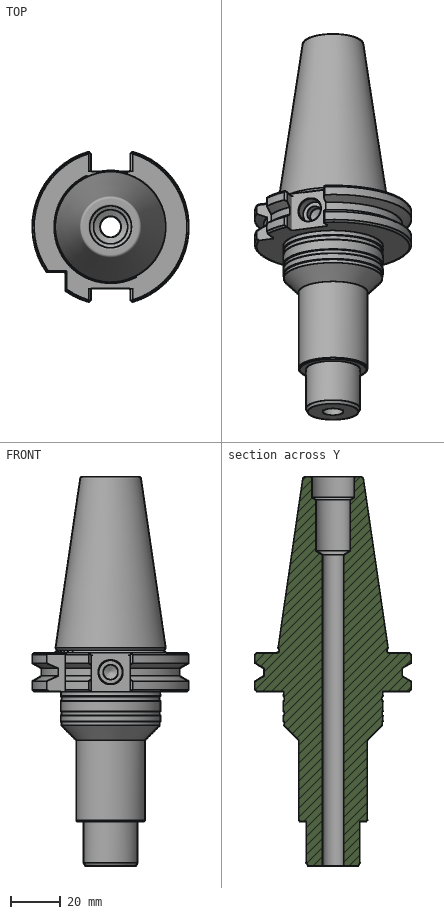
import cadquery as cq
import math


gauge_diameter = 44.45
taper_ratio = 7 / 24
taper_top_z = 68.25
taper_bottom_z = -1.1
taper_tip_round = 1.1
undercut_radius = 21.9
undercut_fillet = 1.0

flange_diameter = 63.55
flange_top_z = -3.1
flange_thickness = 15.7
flange_bottom_z = flange_top_z - flange_thickness
flange_chamfer = 0.8
grip_groove_z = flange_top_z - flange_thickness / 2
grip_groove_root_diameter = 56.25
grip_groove_root_width = 3.1
grip_groove_half_angle = 30

slot_width = 15.8
slot_chamfer = 1.0
slot_corner_fillet = 0.5
front_slot_floor = 25.0
rear_slot_floor = 22.5
notch_x = -18.4
notch_y = -18.4
notch_chamfer = 0.6
notch_corner_fillet = 0.5

side_bore_diameter = 9.6
side_bore_chamfer = 0.2
side_bore_depth = 4.8
side_hole_diameter = 6.0
side_hole_depth = 8.0
drill_point_angle = 118

neck_diameter = 40.0
band_height = 0.25
collar_groove_width = 1.35
collar_end_z = -20.6
bands = [(-22.75, -26.7), (-28.6, -30.85)]
ring_groove_depth = 0.1

bottom_z = -89.5
shank_diameter = 28.0
shank_top_z = bottom_z + 51.0
shank_bottom_z = bottom_z + 18.0
shank_chamfer = 0.5
nose_diameter = 22.0
nose_chamfer_height = 1.3
nose_chamfer_angle = 30

pilot_diameter = 17.0
pilot_mouth_round = 0.8
pilot_depth = 8.4
thread_bore_diameter = 13.84
thread_bore_depth = 30.0
through_diameter = 8.38

flange_radius = flange_diameter / 2
neck_radius = neck_diameter / 2
band_radius = neck_radius + band_height


def taper_radius(z):
    return (gauge_diameter - z * taper_ratio) / 2


def drill_point_height(diameter):
    return diameter / 2 / math.tan(math.radians(drill_point_angle / 2))


def revolve_about_z(half_profile):
    return half_profile.close().revolve(360, (0, 0, 0), (0, 1, 0))


def make_taper():
    """Steep taper with the undercut and fillet that join it to the flange."""
    fillet_inset = undercut_fillet * (1 - math.sqrt(0.5))
    taper = revolve_about_z(
        cq.Workplane("XZ")
        .moveTo(0, taper_top_z)
        .lineTo(taper_radius(taper_top_z), taper_top_z)
        .lineTo(taper_radius(taper_bottom_z), taper_bottom_z)
        .lineTo(undercut_radius, flange_top_z + undercut_fillet)
        .threePointArc(
            (undercut_radius + fillet_inset, flange_top_z + fillet_inset),
            (undercut_radius + undercut_fillet, flange_top_z),
        )
        .lineTo(0, flange_top_z)
    )
    return taper.faces(">Z").edges().fillet(taper_tip_round)


def make_flange_ring():
    """Round flange with chamfered rims and the V-shaped grip groove."""
    root_radius = grip_groove_root_diameter / 2
    root_half = grip_groove_root_width / 2
    mouth_half = root_half + (flange_radius - root_radius) * math.tan(math.radians(grip_groove_half_angle))
    rim_radius = flange_radius - flange_chamfer
    return revolve_about_z(
        cq.Workplane("XZ")
        .moveTo(0, flange_top_z)
        .lineTo(rim_radius, flange_top_z)
        .lineTo(flange_radius, flange_top_z - flange_chamfer)
        .lineTo(flange_radius, grip_groove_z + mouth_half)
        .lineTo(root_radius, grip_groove_z + root_half)
        .lineTo(root_radius, grip_groove_z - root_half)
        .lineTo(flange_radius, grip_groove_z - mouth_half)
        .lineTo(flange_radius, flange_bottom_z + flange_chamfer)
        .lineTo(rim_radius, flange_bottom_z)
        .lineTo(0, flange_bottom_z)
    )


def make_recess(x_min, x_max, y_min, y_max):
    return (
        cq.Workplane("XY", origin=(0, 0, flange_bottom_z))
        .moveTo((x_min + x_max) / 2, (y_min + y_max) / 2)
        .rect(x_max - x_min, y_max - y_min)
        .extrude(flange_thickness)
    )


def make_slot(floor_distance):
    """Drive slot cutter for the -Y side, flared where its walls meet the rim and the upper flange face."""
    half_width = slot_width / 2
    flared_half = half_width + slot_chamfer
    depth = flange_radius - floor_distance
    slot = make_recess(-half_width, half_width, -flange_radius, -floor_distance)
    slot = slot.faces(">Y").edges("|Z").fillet(slot_corner_fillet)

    flare_end_y = -math.sqrt(flange_radius**2 - flared_half**2)
    flare_start_y = flare_end_y + slot_chamfer
    rim_flare = (
        cq.Workplane("XY", origin=(0, 0, flange_bottom_z))
        .polyline([
            (-half_width, flare_start_y),
            (half_width, flare_start_y),
            (flared_half, flare_end_y),
            (flared_half, -flange_radius),
            (-flared_half, -flange_radius),
            (-flared_half, flare_end_y),
        ])
        .close()
        .extrude(flange_thickness)
    )
    slot = slot.union(rim_flare)

    face_flare = (
        cq.Workplane("XZ", origin=(0, -floor_distance, 0))
        .polyline([
            (-flared_half, flange_top_z),
            (flared_half, flange_top_z),
            (half_width, flange_top_z - slot_chamfer),
            (-half_width, flange_top_z - slot_chamfer),
        ])
        .close()
        .extrude(depth)
    )
    return slot.union(face_flare)


def make_notch():
    """Orientation notch cutter, rounded in the corner and flared at the upper flange face."""
    notch = make_recess(-flange_radius, notch_x, -flange_radius, notch_y)
    notch = notch.edges("|Z and >X and >Y").fillet(notch_corner_fillet)
    flare_start = cq.Workplane("XY", origin=(0, 0, flange_top_z - notch_chamfer))
    face_flare = (
        flare_start
        .moveTo(notch_x - flange_radius / 2, notch_y - flange_radius / 2)
        .rect(flange_radius, flange_radius)
        .extrude(notch_chamfer, taper=-45)
    )
    return notch.union(face_flare)


def make_flange():
    flange = make_flange_ring().cut(make_notch())
    rear_slot = make_slot(rear_slot_floor).rotate((0, 0, 0), (0, 0, 1), 180)
    return flange.cut(make_slot(front_slot_floor)).cut(rear_slot)


def make_neck_and_shank():
    shank_radius = shank_diameter / 2
    nose_radius = nose_diameter / 2
    nose_tip_radius = nose_radius - nose_chamfer_height * math.tan(math.radians(nose_chamfer_angle))
    collar_start_z = flange_bottom_z - collar_groove_width
    ring_groove_top_z = collar_end_z - band_height
    ring_groove_bottom_z = bands[0][0] + band_height

    profile = (
        cq.Workplane("XZ")
        .moveTo(0, flange_bottom_z)
        .lineTo(band_radius, flange_bottom_z)
        .threePointArc(
            (band_radius - ring_groove_depth, (flange_bottom_z + collar_start_z) / 2),
            (band_radius, collar_start_z),
        )
        .lineTo(band_radius, collar_end_z)
        .lineTo(neck_radius, ring_groove_top_z)
        .threePointArc(
            (neck_radius - ring_groove_depth, (ring_groove_top_z + ring_groove_bottom_z) / 2),
            (neck_radius, ring_groove_bottom_z),
        )
    )
    for index, (band_top_z, band_bottom_z) in enumerate(bands):
        if index > 0:
            profile = profile.lineTo(neck_radius, band_top_z + band_height)
        profile = (
            profile.lineTo(band_radius, band_top_z)
            .lineTo(band_radius, band_bottom_z)
            .lineTo(neck_radius, band_bottom_z - band_height)
        )
    return revolve_about_z(
        profile
        .lineTo(neck_radius, shank_top_z + neck_radius - shank_radius)
        .lineTo(shank_radius, shank_top_z)
        .lineTo(shank_radius, shank_bottom_z + shank_chamfer)
        .lineTo(shank_radius - shank_chamfer, shank_bottom_z)
        .lineTo(nose_radius, shank_bottom_z)
        .lineTo(nose_radius, bottom_z + nose_chamfer_height)
        .lineTo(nose_tip_radius, bottom_z)
        .lineTo(0, bottom_z)
    )


def make_axial_bore():
    pilot_radius = pilot_diameter / 2
    thread_radius = thread_bore_diameter / 2
    through_radius = through_diameter / 2
    pilot_end_z = taper_top_z - pilot_depth
    pilot_cone = drill_point_height(pilot_diameter) - drill_point_height(thread_bore_diameter)
    thread_end_z = taper_top_z - thread_bore_depth
    thread_cone = drill_point_height(thread_bore_diameter) - drill_point_height(through_diameter)
    mouth_inset = pilot_mouth_round * (1 - math.sqrt(0.5))
    return revolve_about_z(
        cq.Workplane("XZ")
        .moveTo(0, taper_top_z)
        .lineTo(pilot_radius + pilot_mouth_round, taper_top_z)
        .threePointArc(
            (pilot_radius + mouth_inset, taper_top_z - mouth_inset),
            (pilot_radius, taper_top_z - pilot_mouth_round),
        )
        .lineTo(pilot_radius, pilot_end_z)
        .lineTo(thread_radius, pilot_end_z - pilot_cone)
        .lineTo(thread_radius, thread_end_z)
        .lineTo(through_radius, thread_end_z - thread_cone)
        .lineTo(through_radius, bottom_z)
        .lineTo(0, bottom_z)
    )


def make_side_hole():
    """Stepped blind hole with a drill point, running in +Y from the front slot floor."""
    bore_radius = side_bore_diameter / 2
    hole_radius = side_hole_diameter / 2
    mouth_y = -front_slot_floor
    step_y = mouth_y + side_bore_depth
    hole_end_y = mouth_y + side_hole_depth
    hole = (
        cq.Workplane("XY")
        .moveTo(0, mouth_y)
        .lineTo(bore_radius + side_bore_chamfer, mouth_y)
        .lineTo(bore_radius, mouth_y + side_bore_chamfer)
        .lineTo(bore_radius, step_y)
        .lineTo(hole_radius, step_y)
        .lineTo(hole_radius, hole_end_y)
        .lineTo(0, hole_end_y + drill_point_height(side_hole_diameter))
    )
    return revolve_about_z(hole).translate((0, 0, grip_groove_z))


result = make_taper().union(make_flange()).union(make_neck_and_shank())
result = result.cut(make_axial_bore()).cut(make_side_hole())